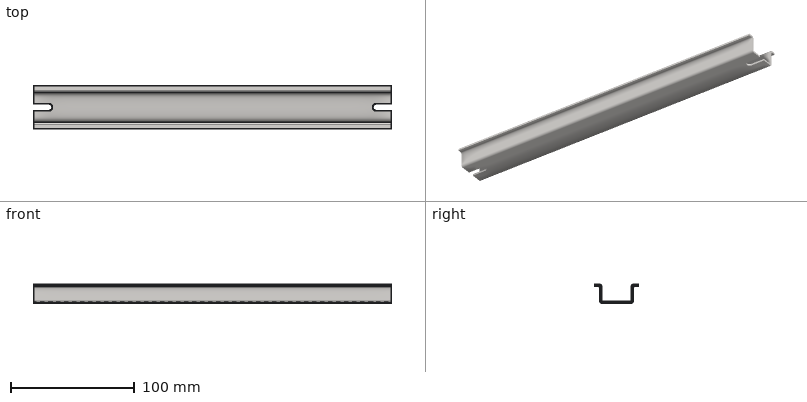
import cadquery as cq

rail_length = 289.0
rail_width = 35.0
rail_height = 15.0
sheet = 1.5
channel_width = 27.0

lip_inner_radius = 0.8
lip_outer_radius = 1.8
floor_inner_radius = 0.5
floor_outer_radius = 2.0

slot_width = 5.5
slot_depth = 15.0


def hat_profile():
    """Closed hat section in the YZ plane, floor at Z = 0, lips at the top."""
    half_lip = rail_width / 2
    half_outer = channel_width / 2
    half_inner = half_outer - sheet
    lip_underside = rail_height - sheet
    right_side = [
        (half_outer, 0),
        (half_outer, lip_underside),
        (half_lip, lip_underside),
        (half_lip, rail_height),
        (half_inner, rail_height),
        (half_inner, sheet),
    ]
    left_side = [(-y, z) for y, z in reversed(right_side)]
    return cq.Workplane("YZ").polyline(right_side + left_side).close()


def round_bends(rail):
    """Round both faces of the four lengthwise bends."""
    half_outer = channel_width / 2
    half_inner = half_outer - sheet
    bends = (
        (half_inner, rail_height, lip_outer_radius),
        (half_outer, rail_height - sheet, lip_inner_radius),
        (half_inner, sheet, floor_inner_radius),
        (half_outer, 0, floor_outer_radius),
    )
    for y, z, radius in bends:
        for side in (-1, 1):
            nearest = cq.selectors.NearestToPointSelector((0, side * y, z))
            rail = rail.edges("|X").edges(nearest).fillet(radius)
    return rail


def end_slot(side):
    """Round-nosed cutter reaching slot_depth inward from one end (side = -1 or 1)."""
    end_x = side * rail_length / 2
    return (
        cq.Workplane("XY")
        .center(end_x, 0)
        .slot2D(2 * slot_depth, slot_width)
        .extrude(sheet)
    )


result = round_bends(hat_profile().extrude(rail_length / 2, both=True))
for end in (-1, 1):
    result = result.cut(end_slot(end))